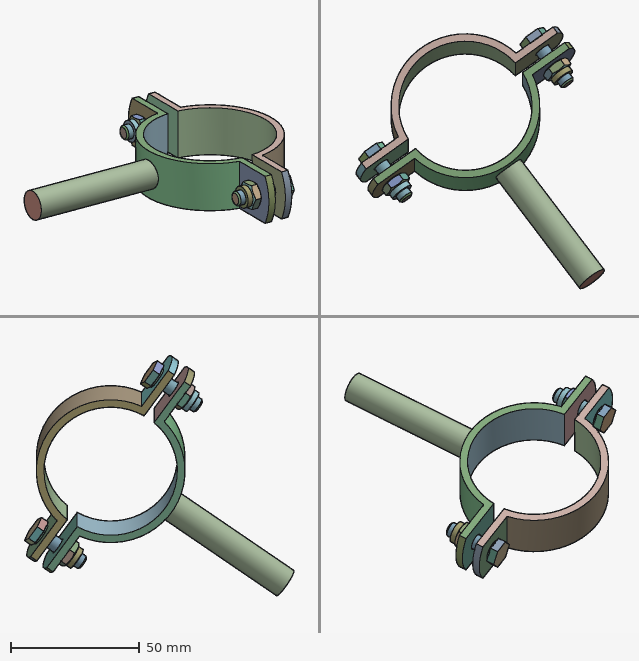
import cadquery as cq
import math

overall_length = 112.5
overall_width = 98.0
band_height = 20.0
band_thickness = 3.0
ring_outer_radius = 29.0
ring_inner_radius = ring_outer_radius - band_thickness
lug_gap = 4.7
lug_inner_y = lug_gap / 2
lug_outer_y = lug_inner_y + band_thickness
lug_end_radius = 20.0
rod_diameter = 12.0
rod_end_y = ring_outer_radius - overall_length

bolt_x = 39.0
bolt_hole_diameter = 6.5
shank_diameter = 6.0
shank_end_y = -14.5
tip_diameter = 4.7
tip_length = 0.7
hex_across_flats = 10.0
hex_corner_diameter = hex_across_flats / math.cos(math.radians(30))
bearing_face_diameter = 8.7
bearing_face_height = 0.8
head_height = 3.3
nut_hex_height = 3.8
nut_corner_drop = 0.7
nut_collar_diameter = 8.9
nut_collar_height = 2.2
nut_turn = 3.0


def rod_along_y(diameter, x, start_y, end_y):
    """Cylinder parallel to Y between two Y positions."""
    return cq.Workplane(
        cq.Solid.makeCylinder(
            diameter / 2, end_y - start_y, cq.Vector(x, start_y, 0), cq.Vector(0, 1, 0)
        )
    )


def hex_along_y(start_y, height, turn):
    """Hexagonal prism on the Y axis with corners toward +X and -X before turning."""
    prism = (
        cq.Workplane("XZ", origin=(0, start_y, 0))
        .polygon(6, hex_corner_diameter)
        .extrude(-height)
    )
    return prism.rotate((0, 0, 0), (0, 1, 0), -turn)


def make_rear_half():
    """Half ring on the +Y side with a drilled, round-ended lug on each side."""
    half_width = overall_width / 2
    outer_x = math.sqrt(ring_outer_radius**2 - lug_outer_y**2)
    inner_x = math.sqrt(ring_inner_radius**2 - lug_inner_y**2)
    band = (
        cq.Workplane("XY")
        .moveTo(-half_width, lug_inner_y)
        .lineTo(-inner_x, lug_inner_y)
        .threePointArc((0, ring_inner_radius), (inner_x, lug_inner_y))
        .lineTo(half_width, lug_inner_y)
        .lineTo(half_width, lug_outer_y)
        .lineTo(outer_x, lug_outer_y)
        .threePointArc((0, ring_outer_radius), (-outer_x, lug_outer_y))
        .lineTo(-half_width, lug_outer_y)
        .close()
        .extrude(band_height / 2, both=True)
    )

    half_height = band_height / 2
    corner_x = half_width - lug_end_radius + math.sqrt(lug_end_radius**2 - half_height**2)
    rounded_outline = (
        cq.Workplane("XZ")
        .moveTo(-corner_x, -half_height)
        .lineTo(corner_x, -half_height)
        .threePointArc((half_width, 0), (corner_x, half_height))
        .lineTo(-corner_x, half_height)
        .threePointArc((-half_width, 0), (-corner_x, -half_height))
        .close()
        .extrude(-ring_outer_radius)
    )
    band = band.intersect(rounded_outline)

    for x in (-bolt_x, bolt_x):
        band = band.cut(rod_along_y(bolt_hole_diameter, x, lug_inner_y, lug_outer_y))
    return band


def make_front_half():
    """Mirrored half ring carrying the mounting rod, which stops short of the bore."""
    rod = rod_along_y(rod_diameter, 0, rod_end_y, -ring_inner_radius)
    bore = cq.Workplane("XY").circle(ring_inner_radius).extrude(band_height / 2, both=True)
    return make_rear_half().mirror("XZ").union(rod.cut(bore))


def make_bolt(x):
    """Hex bolt with a round bearing face under the head and a chamfered tip."""
    head_start_y = lug_outer_y + bearing_face_height
    shank = rod_along_y(shank_diameter, 0, shank_end_y, head_start_y)
    tip_chamfer = (shank_diameter - tip_diameter) / 2
    shank = shank.faces("<Y").chamfer(tip_length, tip_chamfer)
    bearing_face = rod_along_y(bearing_face_diameter, 0, lug_outer_y, head_start_y)
    head = hex_along_y(head_start_y, head_height, 0)
    return head.union(bearing_face).union(shank).translate((x, 0, 0))


def make_nut(x):
    """Hex nut with bevelled corners on both faces and a round collar at its free end."""
    hex_end_y = -lug_outer_y - nut_hex_height
    collar_end_y = hex_end_y - nut_collar_height
    face_radius = nut_collar_diameter / 2
    corner_radius = hex_corner_diameter / 2
    bevel_envelope = (
        cq.Workplane("XY")
        .moveTo(0, -lug_outer_y)
        .lineTo(face_radius, -lug_outer_y)
        .lineTo(corner_radius, -lug_outer_y - nut_corner_drop)
        .lineTo(corner_radius, hex_end_y + nut_corner_drop)
        .lineTo(face_radius, hex_end_y)
        .lineTo(0, hex_end_y)
        .close()
        .revolve(360, (0, 0, 0), (0, 1, 0))
    )
    nut = hex_along_y(hex_end_y, nut_hex_height, nut_turn).intersect(bevel_envelope)
    nut = nut.union(rod_along_y(nut_collar_diameter, 0, collar_end_y, hex_end_y))
    nut = nut.cut(rod_along_y(shank_diameter, 0, collar_end_y, -lug_outer_y))
    return nut.translate((x, 0, 0))


rear_half = make_rear_half()
front_half = make_front_half()
bolts = []
nuts = []
for side_x in (-bolt_x, bolt_x):
    bolts.append(make_bolt(side_x).val())
    nuts.append(make_nut(side_x).val())

result = cq.Compound.makeCompound([rear_half.val(), front_half.val(), *bolts, *nuts])